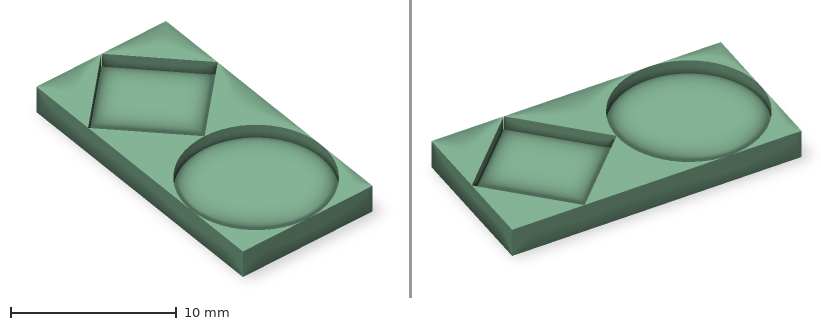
import cadquery as cq

plate_length = 20
plate_width = 10
plate_thickness = 2

pocket_depth = 1
pocket_offset = plate_length / 4
round_pocket_diameter = plate_width
square_pocket_side = 7.08

plate = cq.Workplane("XY").box(plate_length, plate_width, plate_thickness, centered=(True, True, False))

pocket_floor = cq.Workplane("XY").workplane(offset=plate_thickness - pocket_depth)

square_pocket = (
    pocket_floor.center(-pocket_offset, 0)
    .transformed(rotate=(0, 0, 45))
    .rect(square_pocket_side, square_pocket_side)
    .extrude(pocket_depth)
)

round_pocket = (
    pocket_floor.center(pocket_offset, 0)
    .circle(round_pocket_diameter / 2)
    .extrude(pocket_depth)
)

result = plate.cut(square_pocket).cut(round_pocket)